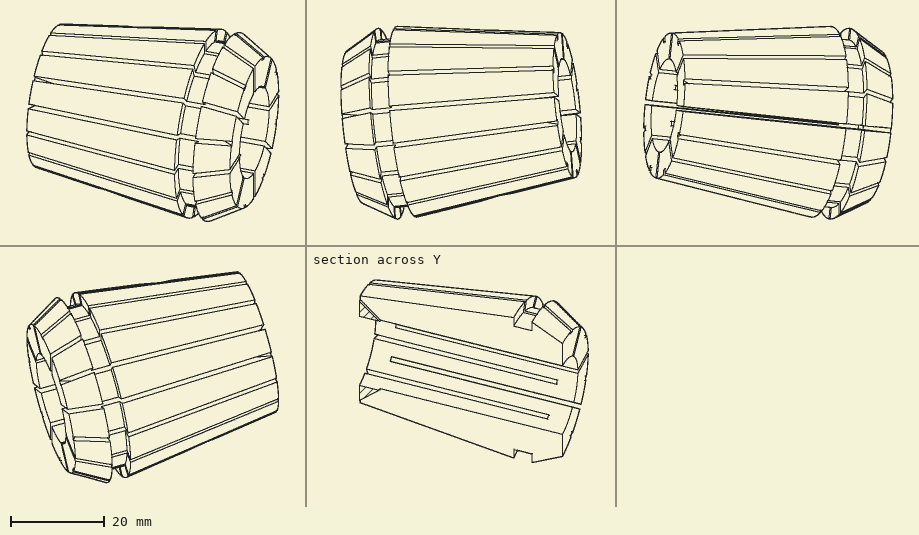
import cadquery as cq

length = 46.0
head_diameter = 41.0
nose_diameter = 31.2
tail_diameter = 32.95
neck_diameter = 35.95
bore_diameter = 20.0
taper_length = 34.9
neck_length = 4.15

slot_width = 1.0
slots_per_set = 8
nose_web_length = 4.6
tail_web_length = 4.5
nose_web_radius = 14.55
tail_web_radius = 16.05

slot_pitch = 360 / slots_per_set
head_start = taper_length + neck_length


def collet_body():
    profile = [
        (0, bore_diameter / 2),
        (0, nose_diameter / 2),
        (taper_length, head_diameter / 2),
        (taper_length, neck_diameter / 2),
        (head_start, neck_diameter / 2),
        (head_start, head_diameter / 2),
        (length, tail_diameter / 2),
        (length, bore_diameter / 2),
    ]
    return cq.Workplane("XY").polyline(profile).close().revolve(360, (0, 0, 0), (1, 0, 0))


def slot_cutter(outer_x, inner_x, open_x, web_radius):
    """Radial slot towards +Z; its floor slopes from web_radius at outer_x to the bore at inner_x."""
    outline = [
        (outer_x, web_radius),
        (inner_x, bore_diameter / 2),
        (inner_x, 0),
        (open_x, 0),
        (open_x, head_diameter),
        (outer_x, head_diameter),
    ]
    return cq.Workplane("XZ").polyline(outline).close().extrude(slot_width / 2, both=True)


def cut_slots(body, cutter, first_angle):
    for index in range(slots_per_set):
        body = body.cut(cutter.rotate((0, 0, 0), (1, 0, 0), first_angle + index * slot_pitch))
    return body


nose_webbed_slot = slot_cutter(0, nose_web_length, length, nose_web_radius)
tail_webbed_slot = slot_cutter(length, length - tail_web_length, 0, tail_web_radius)

result = collet_body()
result = cut_slots(result, nose_webbed_slot, 0)
result = cut_slots(result, tail_webbed_slot, slot_pitch / 2)